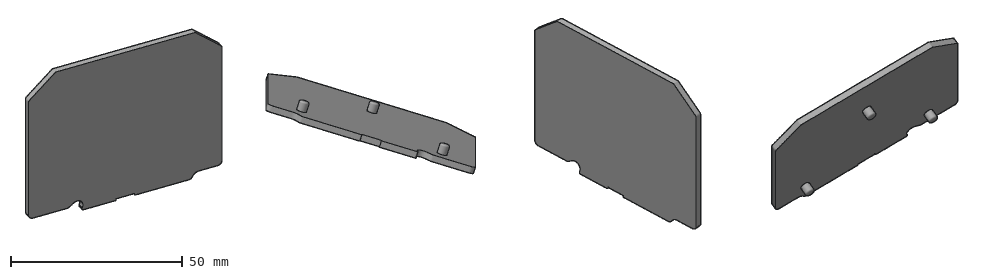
import cadquery as cq
import math

width = 63.5
height = 51.0
plate_thickness = 2.05
half_width = width / 2

top_half_width = 22.85
slope_drop = 7.55
top_corner_radius = 0.5
side_corner_radius = 1.0

shoulder_z = 2.1
shoulder_corner_radius = 1.5
foot_slope_start_y = 23.05
foot_slope_end_y = 21.4
foot_upper_radius = 2.05
foot_lower_radius = 1.0

recess_half_width = 3.0
recess_depth = 0.6
recess_edge_radius = 0.3

notch_radius = 1.9
notch_y = -15.8
notch_z = 1.8
notch_ramp_angle = math.radians(34)
notch_ramp_radius = 1.0
lip_y = -14.15
lip_radius = 0.4

pin_diameter = 3.0
pin_length = 3.0
pin_tip_radius = 0.5
pin_spread = 21.45
lower_pin_z = 7.5
upper_pin_z = 34.85
pin_centers = [(-pin_spread, lower_pin_z), (pin_spread, lower_pin_z), (0, upper_pin_z)]


def round_edges(body, points, radius):
    """Round the through-thickness edges of the plate at the given (y, z) corners."""
    middle_x = plate_thickness / 2
    for y, z in points:
        edge = cq.selectors.NearestToPointSelector((middle_x, y, z))
        body = body.edges("|X").edges(edge).fillet(radius)
    return body


def make_plate():
    """Extrude the plate outline and round its corners."""
    tangent_y = notch_y - notch_radius * math.sin(notch_ramp_angle)
    tangent_z = notch_z + notch_radius * math.cos(notch_ramp_angle)
    ramp_end_y = tangent_y - (tangent_z - shoulder_z) / math.tan(notch_ramp_angle)
    lip_top_z = notch_z - math.sqrt(notch_radius**2 - (lip_y - notch_y)**2)
    lip_angle = math.atan2(lip_top_z - notch_z, lip_y - notch_y)
    tangent_angle = math.pi / 2 + notch_ramp_angle
    middle_angle = (lip_angle + tangent_angle) / 2
    notch_middle = (
        notch_y + notch_radius * math.cos(middle_angle),
        notch_z + notch_radius * math.sin(middle_angle),
    )

    side_top_z = height - slope_drop
    side_corners = [(-half_width, side_top_z), (half_width, side_top_z)]
    top_corners = [(-top_half_width, height), (top_half_width, height)]
    shoulder_corners = [(-half_width, shoulder_z), (half_width, shoulder_z)]
    foot_upper = (foot_slope_start_y, shoulder_z)
    foot_lower = (foot_slope_end_y, 0)
    recess_mouth = [(recess_half_width, 0), (-recess_half_width, 0)]
    ramp_end = (ramp_end_y, shoulder_z)
    lip_bottom = (lip_y, 0)

    plate = (
        cq.Workplane("YZ")
        .moveTo(*foot_upper)
        .lineTo(*foot_lower)
        .lineTo(*recess_mouth[0])
        .lineTo(recess_half_width, recess_depth)
        .lineTo(-recess_half_width, recess_depth)
        .lineTo(*recess_mouth[1])
        .lineTo(*lip_bottom)
        .lineTo(lip_y, lip_top_z)
        .threePointArc(notch_middle, (tangent_y, tangent_z))
        .lineTo(*ramp_end)
        .lineTo(*shoulder_corners[0])
        .lineTo(*side_corners[0])
        .lineTo(*top_corners[0])
        .lineTo(*top_corners[1])
        .lineTo(*side_corners[1])
        .lineTo(*shoulder_corners[1])
        .close()
        .extrude(plate_thickness)
    )
    plate = round_edges(plate, top_corners, top_corner_radius)
    plate = round_edges(plate, side_corners, side_corner_radius)
    plate = round_edges(plate, shoulder_corners, shoulder_corner_radius)
    plate = round_edges(plate, [foot_upper], foot_upper_radius)
    plate = round_edges(plate, [foot_lower], foot_lower_radius)
    plate = round_edges(plate, recess_mouth, recess_edge_radius)
    plate = round_edges(plate, [ramp_end], notch_ramp_radius)
    return round_edges(plate, [lip_bottom], lip_radius)


def make_pins():
    """Build the round-tipped pins standing out from the plate toward -X."""
    return (
        cq.Workplane("YZ")
        .pushPoints(pin_centers)
        .circle(pin_diameter / 2)
        .extrude(-pin_length)
        .faces("<X")
        .edges()
        .fillet(pin_tip_radius)
    )


result = make_plate().union(make_pins())